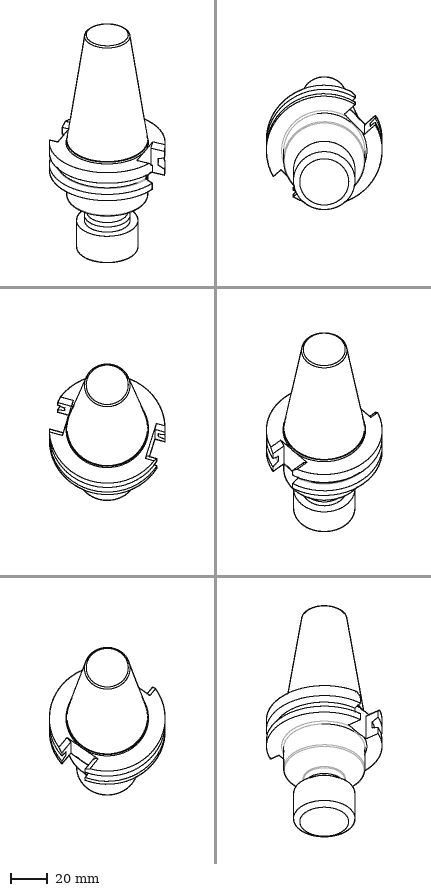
import cadquery as cq

total_height = 138.2
nut_chamfer_height = 2.1
nut_top = 19.1
collar_top = 22.4
neck_bottom = 24.5
neck_top = 28.8
body_bottom = 35.4
flange_bottom = 51.2
flange_height = 18.0
flange_top = flange_bottom + flange_height
relief_height = 1.1
cone_bottom = flange_top + relief_height

nut_diameter = 33.7
nut_chamfer_width = 3.5
collar_diameter = 25.0
neck_diameter = 22.5
body_diameter = 44.5
flange_diameter = 63.5
groove_diameter = 55.9
relief_diameter = 43.8
cone_diameter = body_diameter
taper_ratio = 7 / 24

groove_lower_edge = flange_bottom + 4.0
groove_upper_edge = flange_bottom + 11.2
groove_flank_height = 1.7
groove_root_fillet = 0.4

cone_tip_chamfer = 0.8
body_root_fillet = 1.1
relief_root_fillet = 0.7
body_lower_fillet = 1.0
neck_root_fillet = 0.7

slot_width = 16.0
slot_mouth_chamfer = 2.6
left_slot_floor = 24.9
right_slot_floor = 22.5


def turned_profile():
    """Half section of the turned holder, from the nut face up to the cone tip."""
    tip_diameter = cone_diameter - taper_ratio * (total_height - cone_bottom)
    steps = [
        (nut_diameter / 2 - nut_chamfer_width, 0),
        (nut_diameter / 2, nut_chamfer_height),
        (nut_diameter / 2, nut_top),
        (collar_diameter / 2, nut_top),
        (collar_diameter / 2, collar_top),
        (neck_diameter / 2, neck_bottom),
        (neck_diameter / 2, neck_top),
        (body_diameter / 2, body_bottom),
        (body_diameter / 2, flange_bottom),
        (flange_diameter / 2, flange_bottom),
        (flange_diameter / 2, groove_lower_edge),
        (groove_diameter / 2, groove_lower_edge + groove_flank_height),
        (groove_diameter / 2, groove_upper_edge - groove_flank_height),
        (flange_diameter / 2, groove_upper_edge),
        (flange_diameter / 2, flange_top),
        (relief_diameter / 2, flange_top),
        (relief_diameter / 2, cone_bottom),
        (cone_diameter / 2, cone_bottom),
        (tip_diameter / 2, total_height),
    ]
    return cq.Workplane("XZ").polyline([(0, 0)] + steps + [(0, total_height)]).close()


def circle_edge(diameter, height):
    """Select the full circular edge of the given diameter at the given height."""
    radius = diameter / 2
    margin = 0.1
    return cq.selectors.BoxSelector(
        (-radius - margin, -radius - margin, height - margin),
        (radius + margin, radius + margin, height + margin),
        boundingbox=True,
    )


def turned_holder():
    holder = turned_profile().revolve(360, (0, 0, 0), (0, 1, 0))
    holder = holder.faces(">Z").edges().chamfer(cone_tip_chamfer)
    groove_root = groove_lower_edge + groove_flank_height
    holder = holder.edges(circle_edge(groove_diameter, groove_root)).fillet(groove_root_fillet)
    holder = holder.edges(circle_edge(relief_diameter, flange_top)).fillet(relief_root_fillet)
    holder = holder.edges(circle_edge(body_diameter, flange_bottom)).fillet(body_root_fillet)
    holder = holder.edges(circle_edge(body_diameter, body_bottom)).fillet(body_lower_fillet)
    return holder.edges(circle_edge(neck_diameter, neck_top)).fillet(neck_root_fillet)


def drive_slot(side, floor_distance):
    """Cutter for one slot with a chamfered mouth; side is -1 for -X and +1 for +X."""
    half_width = slot_width / 2
    slot_bottom = flange_bottom - body_root_fillet
    half_mouth = half_width + slot_mouth_chamfer
    chamfer_start = flange_top - slot_mouth_chamfer
    return (
        cq.Workplane("YZ", origin=(side * floor_distance, 0, 0))
        .polyline([
            (-half_width, slot_bottom),
            (half_width, slot_bottom),
            (half_width, chamfer_start),
            (half_mouth, flange_top),
            (-half_mouth, flange_top),
            (-half_width, chamfer_start),
        ])
        .close()
        .extrude(side * flange_diameter / 2)
    )


result = turned_holder()
result = result.cut(drive_slot(-1, left_slot_floor))
result = result.cut(drive_slot(1, right_slot_floor))